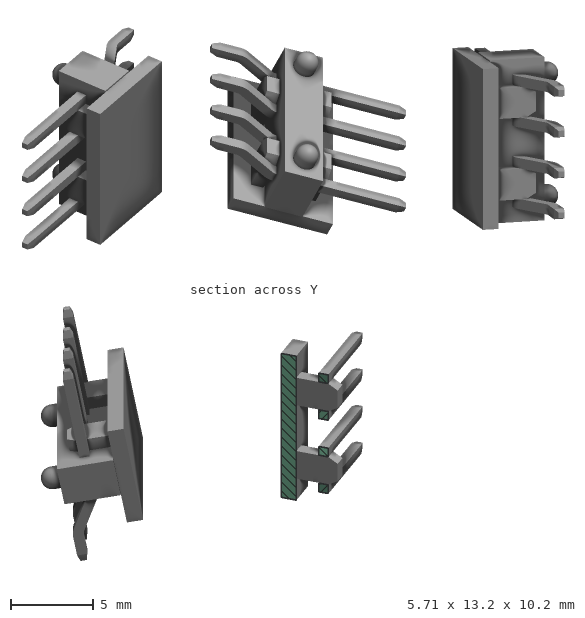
import cadquery as cq
import math

PIN_COUNT = 4

BLOCK_WIDTH = 3.47
BLOCK_DEPTH = 2.5
BLOCK_HEIGHT = 10.16
PIN_PITCH = BLOCK_HEIGHT / PIN_COUNT
PIN_LEVELS = [(i - (PIN_COUNT - 1) / 2) * PIN_PITCH for i in range(PIN_COUNT)]

PEG_RADIUS = 0.7
PEG_LENGTH = 1.21
PEG_LEVELS = [PIN_LEVELS[0], PIN_LEVELS[-1]]

PIN_SIZE = 0.63
PIN_LENGTH = 13.2
PIN_FRONT_Y = -7.26
PIN_BACK_Y = PIN_FRONT_Y + PIN_LENGTH
PIN_X = 1.72
BACK_LEG_X = PIN_SIZE / 2
TIP_SIZE = 0.38
TIP_LENGTH = 0.49
BEND_ANGLE = math.radians(30)
BEND_RADIUS = 1.5 * PIN_SIZE
BEND_START_Y = BLOCK_DEPTH / 2
BEND_RUN = (PIN_X - BACK_LEG_X - 2 * BEND_RADIUS * (1 - math.cos(BEND_ANGLE))) / math.sin(BEND_ANGLE)
BEND_END_Y = BEND_START_Y + 2 * BEND_RADIUS * math.sin(BEND_ANGLE) + BEND_RUN * math.cos(BEND_ANGLE)

CAP_GAP = 0.03
PLATE_THICKNESS = 1.0
PLATE_DEPTH = 6.5
PLATE_HEIGHT = 10.0
PLATE_X = BLOCK_WIDTH + CAP_GAP
ARM_GAP = 0.05
ARM_THICKNESS = 0.8
ARM_INNER_Y = BLOCK_DEPTH / 2 + ARM_GAP
ARM_END_X = 0.79
ARM_BEVEL_X = PIN_X - PIN_SIZE / 2
ARM_BEVEL_ANGLE = math.radians(30)
ARM_HALF_HEIGHT = (PIN_PITCH - PIN_SIZE) / 2
ARM_END_HALF_HEIGHT = ARM_HALF_HEIGHT - (ARM_BEVEL_X - ARM_END_X) * math.tan(ARM_BEVEL_ANGLE)
ARM_LEVELS = [-PIN_PITCH, PIN_PITCH]


def make_peg(level):
    """Cylinder with a hemispherical end, pointing to -X from the block."""
    shank = PEG_LENGTH - PEG_RADIUS
    dome_offset = PEG_RADIUS * math.sqrt(0.5)
    return (
        cq.Workplane("XY")
        .moveTo(0, 0)
        .lineTo(0, PEG_RADIUS)
        .lineTo(-shank, PEG_RADIUS)
        .threePointArc((-shank - dome_offset, dome_offset), (-PEG_LENGTH, 0))
        .close()
        .revolve(360, (0, 0, 0), (1, 0, 0))
        .translate((0, 0, level))
    )


def make_block():
    """Block with its two pegs and a square through hole for each pin."""
    block = cq.Workplane("XY").box(BLOCK_WIDTH, BLOCK_DEPTH, BLOCK_HEIGHT, centered=(False, True, True))
    for level in PEG_LEVELS:
        block = block.union(make_peg(level))
    for level in PIN_LEVELS:
        hole = cq.Workplane("XY").box(PIN_SIZE, BLOCK_DEPTH, PIN_SIZE).translate((PIN_X, 0, level))
        block = block.cut(hole)
    return block


def front_bend_point(side, angle):
    """Point on the bend next to the block, on the wire edge at distance `side` from the centreline."""
    radius = BEND_RADIUS + side
    return (PIN_X - BEND_RADIUS + radius * math.cos(angle), BEND_START_Y + radius * math.sin(angle))


def back_bend_point(side, angle):
    """Point on the bend before the back leg, on the wire edge at distance `side` from the centreline."""
    radius = BEND_RADIUS - side
    return (BACK_LEG_X + BEND_RADIUS - radius * math.cos(angle), BEND_END_Y - radius * math.sin(angle))


def make_pin(level):
    """Jogged plan shape trimmed by the tapered side shape, so that both tips become pyramids."""
    half = PIN_SIZE / 2
    tip = TIP_SIZE / 2
    plan = (
        cq.Workplane("XY")
        .moveTo(PIN_X - tip, PIN_FRONT_Y)
        .lineTo(PIN_X + tip, PIN_FRONT_Y)
        .lineTo(PIN_X + half, PIN_FRONT_Y + TIP_LENGTH)
        .lineTo(*front_bend_point(half, 0))
        .threePointArc(front_bend_point(half, BEND_ANGLE / 2), front_bend_point(half, BEND_ANGLE))
        .lineTo(*back_bend_point(half, BEND_ANGLE))
        .threePointArc(back_bend_point(half, BEND_ANGLE / 2), back_bend_point(half, 0))
        .lineTo(BACK_LEG_X + half, PIN_BACK_Y - TIP_LENGTH)
        .lineTo(BACK_LEG_X + tip, PIN_BACK_Y)
        .lineTo(BACK_LEG_X - tip, PIN_BACK_Y)
        .lineTo(BACK_LEG_X - half, PIN_BACK_Y - TIP_LENGTH)
        .lineTo(*back_bend_point(-half, 0))
        .threePointArc(back_bend_point(-half, BEND_ANGLE / 2), back_bend_point(-half, BEND_ANGLE))
        .lineTo(*front_bend_point(-half, BEND_ANGLE))
        .threePointArc(front_bend_point(-half, BEND_ANGLE / 2), front_bend_point(-half, 0))
        .lineTo(PIN_X - half, PIN_FRONT_Y + TIP_LENGTH)
        .close()
        .extrude(half, both=True)
    )
    side = (
        cq.Workplane("YZ")
        .polyline([
            (PIN_FRONT_Y, -tip),
            (PIN_FRONT_Y + TIP_LENGTH, -half),
            (PIN_BACK_Y - TIP_LENGTH, -half),
            (PIN_BACK_Y, -tip),
            (PIN_BACK_Y, tip),
            (PIN_BACK_Y - TIP_LENGTH, half),
            (PIN_FRONT_Y + TIP_LENGTH, half),
            (PIN_FRONT_Y, tip),
        ])
        .close()
        .extrude(BLOCK_WIDTH)
    )
    return plan.intersect(side).translate((0, 0, level))


def make_arm_pair(level):
    """Two bevelled arms, one on each side of the block."""
    front_arm = (
        cq.Workplane("XZ", origin=(0, -ARM_INNER_Y, level))
        .polyline([
            (PLATE_X, -ARM_HALF_HEIGHT),
            (PLATE_X, ARM_HALF_HEIGHT),
            (ARM_BEVEL_X, ARM_HALF_HEIGHT),
            (ARM_END_X, ARM_END_HALF_HEIGHT),
            (ARM_END_X, -ARM_END_HALF_HEIGHT),
            (ARM_BEVEL_X, -ARM_HALF_HEIGHT),
        ])
        .close()
        .extrude(ARM_THICKNESS)
    )
    return front_arm, front_arm.mirror("XZ")


def make_cap():
    """Flat plate with its arms."""
    cap = (
        cq.Workplane("XY")
        .box(PLATE_THICKNESS, PLATE_DEPTH, PLATE_HEIGHT, centered=(False, True, True))
        .translate((PLATE_X, 0, 0))
    )
    for level in ARM_LEVELS:
        for arm in make_arm_pair(level):
            cap = cap.union(arm)
    return cap


block = make_block()
cap = make_cap()
pins = [make_pin(level) for level in PIN_LEVELS]

result = cq.Compound.makeCompound([
    block.solids().val(),
    cap.solids().val(),
    *[pin.solids().val() for pin in pins],
])